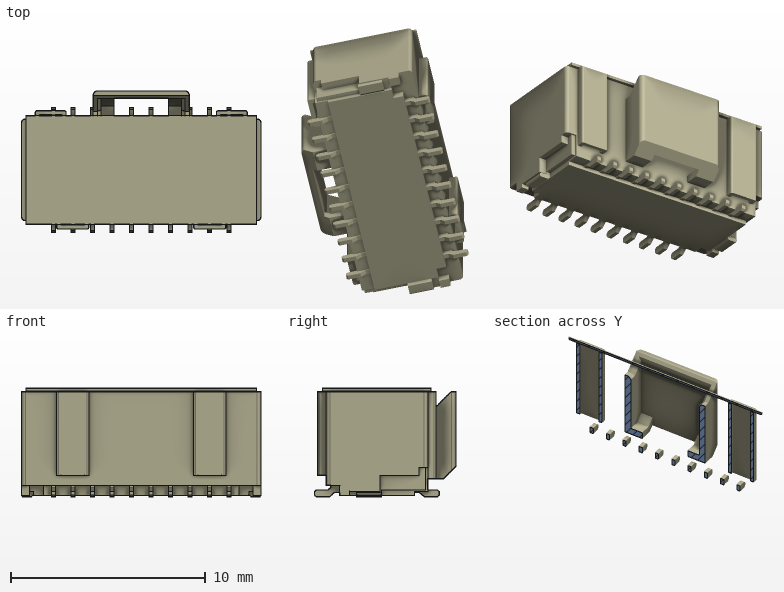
import cadquery as cq


LENGTH = 12.3
FRONT = 0.6
BACK = 5.82
TOP = 5.41
CORNER_RADIUS = 0.2
FRONT_WALL_BOTTOM = 0.59
BACK_WALL_BOTTOM = 0.28

BASE_LENGTH = 11.05
BASE_FRONT = 1.29
BASE_BACK = 5.14
BASE_BOTTOM = 0.07
NOTCH_START = 5.03
LEG_THICKNESS = 0.42
LEG_DEPTH = 0.52

CUTOUT_FRONT = 3.37
CUTOUT_STEP = 5.36
CUTOUT_TOP = 1.11
CUTOUT_STEP_TOP = 1.51

TAB_WALL = 0.22
TAB_FILLET = 0.1
FRONT_TAB_LENGTH = 1.65
FRONT_TAB_FACE = 0.16
FRONT_TAB_BOTTOM = 1.11
FRONT_TAB_X = 3.52
BACK_TAB_LENGTH = 1.59
BACK_TAB_FACE = 6.25
BACK_TAB_BOTTOM = 0.92
BACK_TAB_X = 4.65

GUARD_LENGTH = 4.95
GUARD_BACK = 7.27
GUARD_THICKNESS = 0.39
GUARD_BOTTOM = 0.92
GUARD_FILLET = 0.25
GUARD_FLAT_TOP = 0.25
GUARD_SHELF_Y = 6.21
GUARD_BOTTOM_CHAMFER = 0.65
GUARD_FLOOR_CHAMFER = 0.38
GUARD_FLOOR_GAP = 2.78
GUARD_EDGE_CHAMFER = 0.16

PIN_COUNT = 10
PIN_ROW_SPAN = 9.0
PIN_PITCH = PIN_ROW_SPAN / (PIN_COUNT - 1)
PIN_WIDTH = 0.22
PIN_FOOT_TOP = 0.37
PIN_TIP_CHAMFER = 0.1
PIN_LIFT = 0.22
FRONT_PIN_SHANK = 0.82
FRONT_PIN_SHOULDER = 0.47
FRONT_PIN_BEND_TOP = 0.69
FRONT_PIN_BEND_BOTTOM = 0.77
FRONT_PIN_BEND_END = 1.02
BACK_PIN_TIP = 6.41
BACK_PIN_BEND_BOTTOM = 5.66
BACK_PIN_BEND_END = 5.39

NAIL_FRONT = 2.16
NAIL_FOOT_BACK = 3.43
NAIL_BACK = 5.71
NAIL_FACE = 5.75
NAIL_FOOT_HEIGHT = 0.22
NAIL_TIP_CHAMFER = 0.06
NAIL_BEND_CHAMFER = 0.12
NAIL_PLATE_BOTTOM = 0.37

TAPE_LENGTH = 11.86
TAPE_FRONT = 0.4
TAPE_BACK = 5.99
TAPE_THICKNESS = 0.15
TAPE_GAP = 0.02


def box(x_range, y_range, z_range):
    """A block between two limits along each axis."""
    size = [high - low for low, high in (x_range, y_range, z_range)]
    corner = (x_range[0], y_range[0], z_range[0])
    return cq.Workplane("XY").box(*size, centered=False).translate(corner)


def along_x(points, x_start, x_end):
    """A (Y, Z) outline extruded from x_start to x_end."""
    outline = cq.Workplane("YZ", origin=(x_start, 0, 0)).polyline(points).close()
    return outline.extrude(x_end - x_start)


def both_ends(shape):
    """A shape at the -X end together with its mirror image at the +X end."""
    return shape.union(shape.mirror("YZ"))


def make_shroud():
    half = LENGTH / 2
    base_half = BASE_LENGTH / 2
    leg_back = BASE_FRONT + LEG_DEPTH
    shroud = box((-half, half), (FRONT, BACK), (FRONT_WALL_BOTTOM, TOP))
    shroud = shroud.edges("|Z").fillet(CORNER_RADIUS)

    cutout = along_x(
        [
            (CUTOUT_FRONT, 0),
            (CUTOUT_FRONT, CUTOUT_TOP),
            (CUTOUT_STEP, CUTOUT_TOP),
            (CUTOUT_STEP, CUTOUT_STEP_TOP),
            (BACK, CUTOUT_STEP_TOP),
            (BACK, 0),
        ],
        -half,
        -base_half,
    )
    shroud = shroud.cut(both_ends(cutout))

    back_wall = box((-base_half, base_half), (leg_back, BACK), (BACK_WALL_BOTTOM, FRONT_WALL_BOTTOM))
    base_ends = box((-base_half, base_half), (leg_back, BASE_BACK), (BASE_BOTTOM, FRONT_WALL_BOTTOM))
    base_middle = box(
        (-NOTCH_START, NOTCH_START), (BASE_FRONT, BASE_BACK), (BASE_BOTTOM, FRONT_WALL_BOTTOM)
    )
    shroud = shroud.union(back_wall).union(base_ends).union(base_middle)

    wall_foot = box((-half, -base_half), (leg_back, CUTOUT_FRONT), (BACK_WALL_BOTTOM, FRONT_WALL_BOTTOM))
    leg = box((-half, LEG_THICKNESS - half), (BASE_FRONT, leg_back), (BASE_BOTTOM, FRONT_WALL_BOTTOM))
    return shroud.union(both_ends(wall_foot.union(leg)))


def make_tab(x_centre, length, wall_face, tab_face, bottom):
    """A slotted tab standing out from wall_face to tab_face."""
    outward = 1 if tab_face > wall_face else -1
    slot_face = tab_face - outward * TAB_WALL
    half = length / 2
    slot_half = half - TAB_WALL
    tab = box((-half, half), sorted((wall_face, tab_face)), (bottom, TOP))
    tab = tab.edges("|Z").edges(">Y" if outward > 0 else "<Y").fillet(TAB_FILLET)
    slot = box((-slot_half, slot_half), sorted((wall_face, slot_face)), (bottom, TOP))
    return tab.cut(slot).translate((x_centre, 0, 0))


def make_guard():
    half = GUARD_LENGTH / 2
    inner_half = half - GUARD_THICKNESS
    inner_back = GUARD_BACK - GUARD_THICKNESS
    slope_start = GUARD_BACK - GUARD_FLAT_TOP
    shelf_height = TOP - (slope_start - GUARD_SHELF_Y)
    floor_top = GUARD_BOTTOM + GUARD_THICKNESS
    gap_half = GUARD_FLOOR_GAP / 2

    block = along_x(
        [
            (BACK, GUARD_BOTTOM),
            (GUARD_BACK - GUARD_BOTTOM_CHAMFER, GUARD_BOTTOM),
            (GUARD_BACK, GUARD_BOTTOM + GUARD_BOTTOM_CHAMFER),
            (GUARD_BACK, TOP),
            (slope_start, TOP),
            (GUARD_SHELF_Y, shelf_height),
            (BACK, shelf_height),
        ],
        -half,
        half,
    )
    block = block.edges("|Z and >Y").fillet(GUARD_FILLET)

    hollow = along_x(
        [
            (BACK, floor_top),
            (inner_back - GUARD_FLOOR_CHAMFER, floor_top),
            (inner_back, floor_top + GUARD_FLOOR_CHAMFER),
            (inner_back, TOP),
            (BACK, TOP),
        ],
        -inner_half,
        inner_half,
    )
    gap = box((-gap_half, gap_half), (BACK, inner_back), (GUARD_BOTTOM, TOP))

    guard = block.cut(hollow).cut(gap)

    margin = GUARD_EDGE_CHAMFER / 2
    top_inner_edges = cq.selectors.BoxSelector(
        (-inner_half - margin, BACK, shelf_height - margin),
        (inner_half + margin, inner_back, TOP),
    )
    return guard.edges(top_inner_edges).edges("not |X").edges("not |Z").chamfer(GUARD_EDGE_CHAMFER)


def make_front_pin():
    return along_x(
        [
            (0, PIN_TIP_CHAMFER),
            (PIN_TIP_CHAMFER, 0),
            (FRONT_PIN_BEND_BOTTOM, 0),
            (FRONT_PIN_BEND_END, PIN_LIFT),
            (BASE_FRONT, PIN_LIFT),
            (BASE_FRONT, FRONT_WALL_BOTTOM),
            (FRONT_PIN_SHANK, FRONT_WALL_BOTTOM),
            (FRONT_PIN_SHANK, FRONT_PIN_SHOULDER),
            (FRONT_PIN_BEND_TOP, PIN_FOOT_TOP),
            (PIN_TIP_CHAMFER, PIN_FOOT_TOP),
            (0, PIN_FOOT_TOP - PIN_TIP_CHAMFER),
        ],
        -PIN_WIDTH / 2,
        PIN_WIDTH / 2,
    )


def make_back_pin():
    return along_x(
        [
            (BACK_PIN_TIP, PIN_TIP_CHAMFER),
            (BACK_PIN_TIP - PIN_TIP_CHAMFER, 0),
            (BACK_PIN_BEND_BOTTOM, 0),
            (BACK_PIN_BEND_END, PIN_LIFT),
            (BASE_BACK, PIN_LIFT),
            (BASE_BACK, PIN_FOOT_TOP),
            (BACK_PIN_TIP - PIN_TIP_CHAMFER, PIN_FOOT_TOP),
            (BACK_PIN_TIP, PIN_FOOT_TOP - PIN_TIP_CHAMFER),
        ],
        -PIN_WIDTH / 2,
        PIN_WIDTH / 2,
    )


def make_nail():
    """The solder nail at the -X end: a plate in the cut-out and a foot bent outward."""
    half = LENGTH / 2
    inner = BASE_LENGTH / 2
    plate = box((-NAIL_FACE, -inner), (CUTOUT_FRONT, NAIL_BACK), (NAIL_PLATE_BOTTOM, CUTOUT_STEP_TOP))
    foot = (
        cq.Workplane("XZ", origin=(0, NAIL_FOOT_BACK, 0))
        .moveTo(-half, NAIL_TIP_CHAMFER)
        .lineTo(NAIL_TIP_CHAMFER - half, 0)
        .lineTo(-inner - NAIL_BEND_CHAMFER, 0)
        .lineTo(-inner, NAIL_BEND_CHAMFER)
        .lineTo(-inner, NAIL_PLATE_BOTTOM)
        .lineTo(-NAIL_FACE, NAIL_PLATE_BOTTOM)
        .lineTo(-NAIL_FACE, NAIL_FOOT_HEIGHT)
        .lineTo(NAIL_TIP_CHAMFER - half, NAIL_FOOT_HEIGHT)
        .lineTo(-half, NAIL_FOOT_HEIGHT - NAIL_TIP_CHAMFER)
        .close()
        .extrude(NAIL_FOOT_BACK - NAIL_FRONT)
    )
    return plate.union(foot)


def make_connector():
    connector = make_shroud()
    for side in (-1, 1):
        front_tab = make_tab(
            side * FRONT_TAB_X, FRONT_TAB_LENGTH, FRONT, FRONT_TAB_FACE, FRONT_TAB_BOTTOM
        )
        back_tab = make_tab(side * BACK_TAB_X, BACK_TAB_LENGTH, BACK, BACK_TAB_FACE, BACK_TAB_BOTTOM)
        connector = connector.union(front_tab).union(back_tab)
    connector = connector.union(make_guard())
    for index in range(PIN_COUNT):
        pin_x = index * PIN_PITCH - PIN_ROW_SPAN / 2
        connector = connector.union(make_front_pin().translate((pin_x, 0, 0)))
        connector = connector.union(make_back_pin().translate((pin_x, 0, 0)))
    return connector.union(both_ends(make_nail()))


def make_tape():
    half = TAPE_LENGTH / 2
    underside = TOP + TAPE_GAP
    return box((-half, half), (TAPE_FRONT, TAPE_BACK), (underside, underside + TAPE_THICKNESS))


connector = make_connector()
tape = make_tape()
result = cq.Compound.makeCompound([connector.val(), tape.val()])